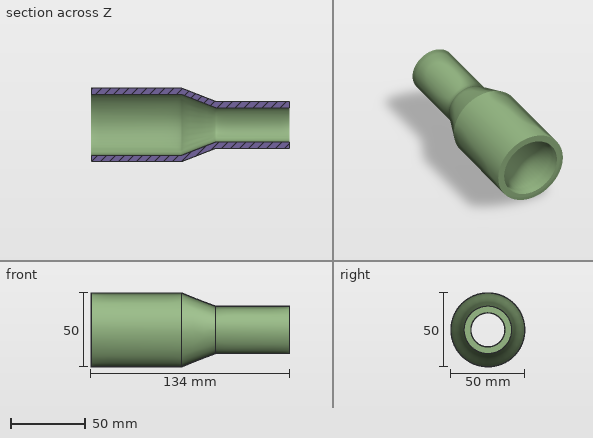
import cadquery as cq

wide_outer_diameter = 50.0
narrow_outer_diameter = 32.0
wall_thickness = 4.6

total_length = 134.0
wide_length = 61.0
narrow_length = 50.0

cone_start = wide_length
cone_end = total_length - narrow_length


def reducer_body(wide_radius, narrow_radius):
    """Solid of revolution about X: wide cylinder, cone, narrow cylinder."""
    return (
        cq.Workplane("XY")
        .moveTo(0, 0)
        .lineTo(0, wide_radius)
        .lineTo(cone_start, wide_radius)
        .lineTo(cone_end, narrow_radius)
        .lineTo(total_length, narrow_radius)
        .lineTo(total_length, 0)
        .close()
        .revolve(360, (0, 0, 0), (1, 0, 0))
    )


wide_outer_radius = wide_outer_diameter / 2
narrow_outer_radius = narrow_outer_diameter / 2

outside = reducer_body(wide_outer_radius, narrow_outer_radius)

bore = reducer_body(
    wide_outer_radius - wall_thickness,
    narrow_outer_radius - wall_thickness,
)

result = outside.cut(bore)